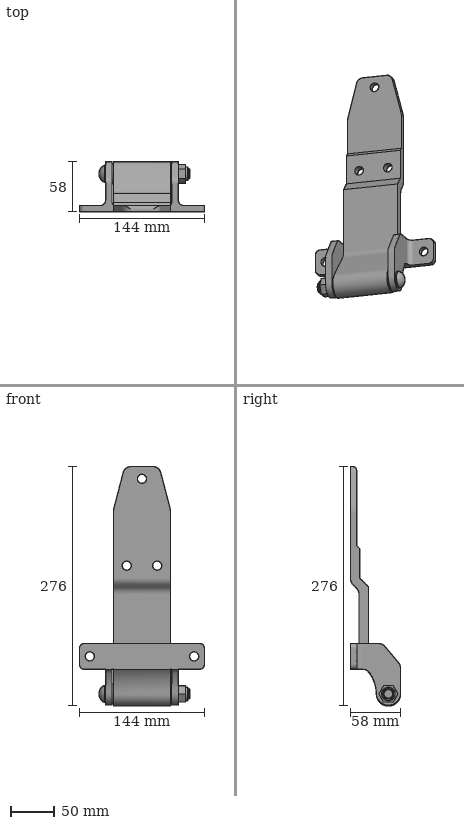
import cadquery as cq
import math


hole_diameter = 10.2
pin_diameter = 12.1
knuckle_radius = 14.0
knuckle_back = 58.0
knuckle_front = knuckle_back - 2 * knuckle_radius
throat_radius = 40.0
bend_radius = 10.0

pin_y = knuckle_back - knuckle_radius
pin_z = knuckle_radius

strap_height = 276.0
strap_width = 66.0
strap_tip_thickness = 7.5
strap_step_back = 11.0
strap_thickness = 11.0
strap_offset = 10.0
strap_step_z = 181.0
strap_jog_z = 147.5
strap_tip_fillet = 5.0
strap_slope_thickness = 12.7
strap_shoulder_radius = 15.0
tip_width = 39.7
tip_taper_z = 225.8
tip_corner_radius = 10.0
taper_bend_radius = 20.0
tip_hole_z = 261.6
pair_hole_z = 161.7
pair_hole_spacing = 35.0

plate_width = 144.0
plate_thickness = 7.5
plate_top_z = 72.3
plate_height = 30.0
plate_corner_radius = 5.8
plate_hole_spacing = 120.0
ear_thickness = 7.7
ear_outer_fillet = 6.0
ear_inner_fillet = 4.0
ear_rise = 1.0
ear_slope_angle = 50.0
ear_top_back = 37.0

washer_diameter = 23.2
washer_thickness = 1.25
nut_flats = 19.0
nut_thickness = 8.3
collar_diameter = 15.7
collar_length = 2.5
collar_chamfer = 0.3
head_diameter = 20.0
head_rim = 1.5
head_height = 7.7
tip_projection = 2.5
tip_chamfer = 1.0

strap_side = strap_width / 2
ear_inner = strap_side + washer_thickness
ear_outer = ear_inner + ear_thickness
nut_end = ear_outer + nut_thickness
collar_end = nut_end + collar_length
bolt_end = collar_end + tip_projection


def rounded_outline(plane, corners):
    """Closed outline through (u, v, radius) corners; radius 0 leaves a corner sharp."""
    stretches = []
    for i, (u, v, radius) in enumerate(corners):
        corner = cq.Vector(u, v)
        to_previous = (cq.Vector(*corners[i - 1][:2]) - corner).normalized()
        to_next = (cq.Vector(*corners[(i + 1) % len(corners)][:2]) - corner).normalized()
        if radius == 0:
            stretches.append([corner])
            continue
        half_angle = to_previous.getAngle(to_next) / 2
        setback = radius / math.tan(half_angle)
        bisector = (to_previous + to_next).normalized()
        middle = corner + bisector * (radius / math.sin(half_angle) - radius)
        stretches.append([corner + to_previous * setback, middle, corner + to_next * setback])

    outline = cq.Workplane(plane).moveTo(*stretches[0][-1].toTuple()[:2])
    position = stretches[0][-1]
    for stretch in stretches[1:] + stretches[:1]:
        if (stretch[0] - position).Length > 2.76e-06:
            outline = outline.lineTo(stretch[0].x, stretch[0].y)
        if len(stretch) > 1:
            outline = outline.threePointArc(*[point.toTuple()[:2] for point in stretch[1:]])
        position = stretch[-1]
    return outline.close()


def x_cylinder(diameter, x_start, x_end):
    """Cylinder on the pin axis between two stations along X."""
    base = cq.Workplane("YZ", origin=(x_start, pin_y, pin_z))
    return base.circle(diameter / 2).extrude(x_end - x_start)


def front_holes(centres):
    """Cutters for mounting holes through the full depth along Y."""
    base = cq.Workplane("XZ").pushPoints(centres)
    return base.circle(hole_diameter / 2).extrude(-knuckle_back)


def strap_side_profile():
    """Side section of the strap: straight tip, 45 degree jog, sloped run and knuckle."""
    lower_back = strap_offset + strap_thickness
    half_bend = math.tan(math.radians(45 / 2))
    jog_front_z = strap_jog_z - strap_thickness * half_bend
    step_top_z = strap_step_z + strap_step_back - strap_tip_thickness
    jog_back_bottom_z = strap_jog_z - (lower_back - strap_step_back)
    throat_corner_z = pin_z + throat_radius * half_bend
    slope_front_sum = knuckle_front + throat_corner_z
    slope_back_sum = slope_front_sum + strap_slope_thickness * math.sqrt(2)
    return rounded_outline("YZ", [
        (0, strap_height, 0),
        (strap_tip_thickness, strap_height, strap_tip_fillet),
        (strap_tip_thickness, step_top_z, 0),
        (strap_step_back, strap_step_z, 0),
        (strap_step_back, strap_jog_z, 0),
        (lower_back, jog_back_bottom_z, 0),
        (lower_back, slope_back_sum - lower_back, bend_radius),
        (knuckle_back, slope_back_sum - knuckle_back, strap_shoulder_radius),
        (knuckle_back, 0, knuckle_radius),
        (knuckle_front, 0, knuckle_radius),
        (knuckle_front, throat_corner_z, throat_radius),
        (strap_offset, slope_front_sum - strap_offset, bend_radius),
        (strap_offset, jog_front_z - strap_offset, bend_radius),
        (0, jog_front_z, bend_radius),
    ])


def strap_front_outline():
    """Front outline of the strap; its lower end runs past the knuckle to keep the round intact."""
    tip_side = tip_width / 2
    base_z = -knuckle_radius
    return rounded_outline("XZ", [
        (-strap_side, base_z, 0),
        (strap_side, base_z, 0),
        (strap_side, tip_taper_z, taper_bend_radius),
        (tip_side, strap_height, tip_corner_radius),
        (-tip_side, strap_height, tip_corner_radius),
        (-strap_side, tip_taper_z, taper_bend_radius),
    ])


def make_strap():
    profile = strap_side_profile().extrude(strap_side, both=True)
    strap = profile.intersect(strap_front_outline().extrude(-knuckle_back))
    holes = [
        (0, tip_hole_z),
        (-pair_hole_spacing / 2, pair_hole_z),
        (pair_hole_spacing / 2, pair_hole_z),
    ]
    strap = strap.cut(front_holes(holes))
    return strap.cut(x_cylinder(pin_diameter, -strap_side, strap_side))


def ear_side_profile():
    """Side section of the bracket ears, from the mounting plane to the knuckle."""
    plate_bottom_z = plate_top_z - plate_height
    slope_drop = (knuckle_back - ear_top_back) * math.tan(math.radians(ear_slope_angle))

    throat_start_z = ear_rise + knuckle_radius
    bend_rise = plate_bottom_z - bend_radius - throat_start_z
    throat_angle = math.asin(bend_rise / (throat_radius - bend_radius))
    throat_corner_z = throat_start_z + throat_radius * math.tan(throat_angle / 2)
    bend_corner_y = knuckle_front - (plate_bottom_z - throat_corner_z) * math.tan(throat_angle)
    return rounded_outline("YZ", [
        (0, plate_top_z, 0),
        (ear_top_back, plate_top_z, bend_radius),
        (knuckle_back, plate_top_z - slope_drop, bend_radius),
        (knuckle_back, ear_rise, knuckle_radius),
        (knuckle_front, ear_rise, knuckle_radius),
        (knuckle_front, throat_corner_z, throat_radius),
        (bend_corner_y, plate_bottom_z, bend_radius),
        (0, plate_bottom_z, 0),
    ])


def bracket_top_section():
    """Section of plate and ears seen along Z, with filleted ear roots."""
    plate_side = plate_width / 2
    return rounded_outline("XY", [
        (-plate_side, 0, 0),
        (plate_side, 0, 0),
        (plate_side, plate_thickness, 0),
        (ear_outer, plate_thickness, ear_outer_fillet),
        (ear_outer, knuckle_back, 0),
        (ear_inner, knuckle_back, 0),
        (ear_inner, plate_thickness, ear_inner_fillet),
        (-ear_inner, plate_thickness, ear_inner_fillet),
        (-ear_inner, knuckle_back, 0),
        (-ear_outer, knuckle_back, 0),
        (-ear_outer, plate_thickness, ear_outer_fillet),
        (-plate_side, plate_thickness, 0),
    ])


def make_bracket():
    section = bracket_top_section().extrude(plate_top_z)
    bracket = section.intersect(ear_side_profile().extrude(plate_width / 2, both=True))
    bracket = bracket.edges("|Y and (<X or >X)").fillet(plate_corner_radius)
    hole_z = plate_top_z - plate_height / 2
    hole_x = plate_hole_spacing / 2
    bracket = bracket.cut(front_holes([(-hole_x, hole_z), (hole_x, hole_z)]))
    return bracket.cut(x_cylinder(pin_diameter, -ear_outer, ear_outer))


def make_washer(x_start):
    x_end = x_start + washer_thickness
    disc = x_cylinder(washer_diameter, x_start, x_end)
    return disc.cut(x_cylinder(pin_diameter, x_start, x_end))


def make_nut():
    """Hexagon nut with a round locking collar; two flats face up and down."""
    across_corners = nut_flats / math.cos(math.radians(30))
    base = cq.Workplane("YZ", origin=(ear_outer, pin_y, pin_z))
    hexagon = base.polygon(6, across_corners).extrude(nut_thickness)
    collar = x_cylinder(collar_diameter, nut_end, collar_end).faces(">X").chamfer(collar_chamfer)
    return hexagon.union(collar).cut(x_cylinder(pin_diameter, ear_outer, collar_end))


def make_bolt():
    """Bolt with a domed head on the -X side and a chamfered end."""
    head_radius = head_diameter / 2
    rim_x = -ear_outer - head_rim
    crown_x = -ear_outer - head_height
    dome_height = head_height - head_rim
    dome_radius = (head_radius ** 2 + dome_height ** 2) / (2 * dome_height)
    dome_centre_x = crown_x + dome_radius
    half_angle = math.asin(head_radius / dome_radius) / 2
    dome_middle = (
        dome_centre_x - dome_radius * math.cos(half_angle),
        dome_radius * math.sin(half_angle),
    )
    head = (
        cq.Workplane("XY", origin=(0, pin_y, pin_z))
        .moveTo(crown_x, 0)
        .threePointArc(dome_middle, (rim_x, head_radius))
        .lineTo(-ear_outer, head_radius)
        .lineTo(-ear_outer, 0)
        .close()
        .revolve(360, (0, 0, 0), (1, 0, 0))
    )
    shank = x_cylinder(pin_diameter, -ear_outer, bolt_end).faces(">X").chamfer(tip_chamfer)
    return head.union(shank)


strap = make_strap()
bracket = make_bracket()
washers = [make_washer(x_start) for x_start in (-ear_inner, strap_side)]
nut = make_nut()
bolt = make_bolt()

result = cq.Compound.makeCompound([
    strap.val(),
    bracket.val(),
    *[washer.val() for washer in washers],
    nut.val(),
    bolt.val(),
])